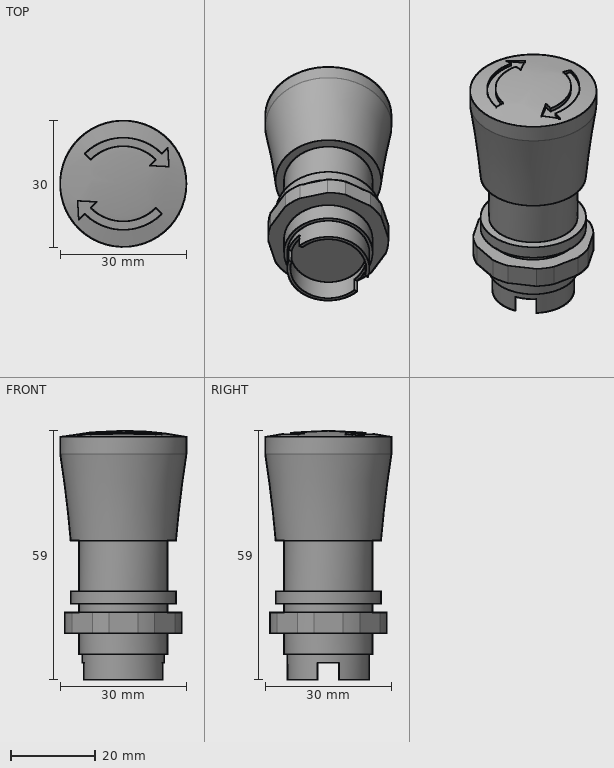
import cadquery as cq
import math

total_height = 59.0
tail_top = 6.0
nut_bottom = 11.0
nut_top = 16.0
flange_bottom = 18.0
flange_top = 21.0
knob_bottom = 33.0
rim_bottom = 53.5
rim_top = 57.5

knob_radius = 15.0
knob_bottom_radius = 12.5
flank_hollow = 0.2

arrow_center_offset = 2.0
arrow_radius = 11.9
arrow_width = 2.0
arrow_head_width = 6.0
arrow_head_length = 3.35
arrow_end_angle = math.radians(45)

shaft_radius = 10.5
flange_radius = 12.5
tail_radius = 9.75
tail_wall = 0.75
slot_width = 5.0
slot_height = 4.0

nut_sides = 8
nut_across_flats = 27.75
nut_corner_radius = 14.3


def cylinder(radius, bottom, top):
    return cq.Workplane("XY").workplane(offset=bottom).circle(radius).extrude(top - bottom)


def make_knob_blank():
    """Revolved knob with a hollow flank and a domed top."""
    flank_middle = (
        (knob_radius + knob_bottom_radius) / 2 - flank_hollow,
        (knob_bottom + rim_bottom) / 2,
    )
    dome_height = total_height - rim_top
    dome_radius = (knob_radius**2 + dome_height**2) / (2 * dome_height)
    dome_middle_x = knob_radius / 2
    dome_middle_z = total_height - dome_radius + math.sqrt(dome_radius**2 - dome_middle_x**2)
    profile = (
        cq.Workplane("XZ")
        .moveTo(0, knob_bottom)
        .lineTo(knob_bottom_radius, knob_bottom)
        .threePointArc(flank_middle, (knob_radius, rim_bottom))
        .lineTo(knob_radius, rim_top)
        .threePointArc((dome_middle_x, dome_middle_z), (0, total_height))
        .close()
    )
    return profile.revolve(360, (0, 0, 0), (0, 1, 0))


def make_arrow():
    """Upright prism with the outline of one clockwise arrow, from the rim edge height up through the dome."""

    def point(radius, angle, ahead=0):
        """Point at a polar place about the arc centre, then moved clockwise along the tangent."""
        x = radius * math.cos(angle) + ahead * math.sin(angle)
        y = radius * math.sin(angle) - ahead * math.cos(angle)
        return (x, y - arrow_center_offset)

    inner = arrow_radius - arrow_width / 2
    outer = arrow_radius + arrow_width / 2
    head_inner = arrow_radius - arrow_head_width / 2
    head_outer = arrow_radius + arrow_head_width / 2
    end = arrow_end_angle
    middle = math.pi / 2
    start = math.pi - end
    return (
        cq.Workplane("XY")
        .workplane(offset=rim_top)
        .moveTo(*point(inner, start))
        .lineTo(*point(outer, start))
        .threePointArc(point(outer, middle), point(outer, end))
        .lineTo(*point(head_outer, end))
        .lineTo(*point(arrow_radius, end, arrow_head_length))
        .lineTo(*point(head_inner, end))
        .lineTo(*point(inner, end))
        .threePointArc(point(inner, middle), point(inner, start))
        .close()
        .extrude(total_height - rim_top)
    )


def make_knob():
    """Knob with two opposite arrows whose floors are flat, level with the rim edge."""
    knob = make_knob_blank()
    arrow = make_arrow()
    for turn in (0, 180):
        knob = knob.cut(arrow.rotate((0, 0, 0), (0, 0, 1), turn))
    return knob


def make_housing():
    """Flanged shaft with a hollow tail that is slotted across along X."""
    shaft = cylinder(shaft_radius, tail_top, knob_bottom)
    flange = cylinder(flange_radius, flange_bottom, flange_top)
    tail = cylinder(tail_radius, 0, tail_top)
    cavity = cylinder(tail_radius - tail_wall, 0, tail_top)
    slot = cq.Workplane("XY").rect(2 * tail_radius, slot_width).extrude(slot_height)
    return shaft.union(flange).union(tail).cut(cavity).cut(slot)


def make_nut():
    """Octagonal ring with rounded corners and one flat facing each axis direction."""
    height = nut_top - nut_bottom
    corner_diameter = nut_across_flats / math.cos(math.pi / nut_sides)
    octagon = (
        cq.Workplane("XY")
        .workplane(offset=nut_bottom)
        .polygon(nut_sides, corner_diameter)
        .extrude(height)
        .rotate((0, 0, 0), (0, 0, 1), 180 / nut_sides)
    )
    rounding = cylinder(nut_corner_radius, nut_bottom, nut_top)
    bore = cylinder(shaft_radius, nut_bottom, nut_top)
    return octagon.intersect(rounding).cut(bore)


knob = make_knob()
housing = make_housing()
nut = make_nut()

result = cq.Compound.makeCompound([knob.val(), housing.val(), nut.val()])